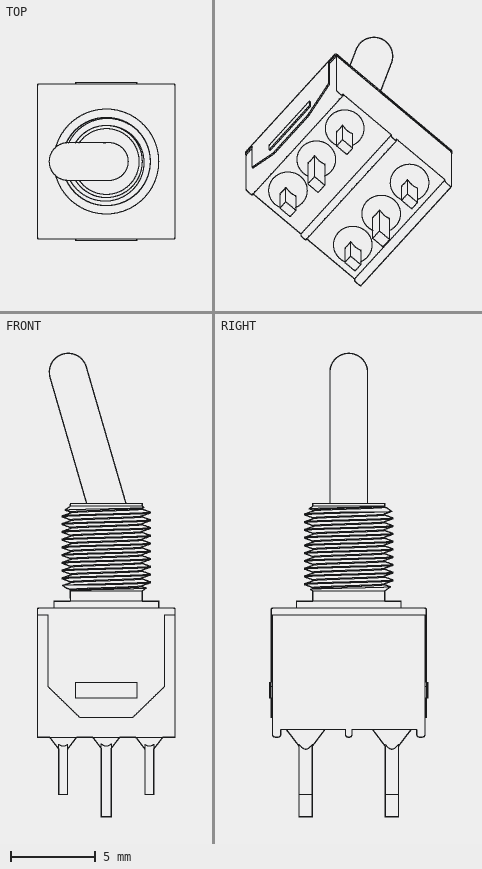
import cadquery as cq
import math


cover_width = 8.13
cover_side_overhang = 0.01
housing_width = cover_width - 2 * cover_side_overhang
housing_depth = 9.0
foot_height = 0.45
outer_foot_width = 0.5
middle_foot_width = 0.4
foot_rounding = 0.17

sheet_thickness = 0.08
cover_depth = housing_depth + 2 * sheet_thickness
cover_top = 7.62
lid_height = 0.41
lid_rounding = 0.1
lid_bottom = cover_top - lid_height
leg_width = 6.86
leg_tip_width = 3.1
leg_taper_top = 2.98
leg_bottom = 1.16
bar_width = 3.6
bar_height = 0.91
bar_center_height = 2.78
bar_projection = 0.08

collar_diameter = 6.19
collar_top = 8.03
neck_diameter = 4.25
bushing_top = 13.79
bore_diameter = 3.88
bore_depth = 0.45
thread_diameter = 5.2
thread_bottom = 8.62
thread_top = 13.62
thread_end_taper = 0.35
thread_pitch = 0.457
thread_root_gap = 0.02
thread_crest_flat = 0.06
thread_trim_clearance = 0.1
thread_root_sink = 0.06
thread_overrun_turns = 1
thread_crest_height = 13.02

overall_height = 27.33
lever_diameter = 2.24
lever_angle = 16.2
lever_pivot_height = bushing_top
lever_top = 22.64

terminal_pitch = 2.54
row_spacing = 5.08
terminal_depth = 0.8
terminal_embedment = 0.5
outer_terminal_width = 0.52
middle_terminal_width = 0.6
outer_terminal_bottom = -3.38
middle_terminal_bottom = lever_top - overall_height
bead_diameter = 2.28
bead_length = 1.5


def box(width, depth, bottom, top, x=0, y=0):
    """Upright block centred on (x, y)."""
    block = cq.Workplane("XY").workplane(offset=bottom).center(x, y)
    return block.rect(width, depth).extrude(top - bottom)


def cylinder(diameter, bottom, top):
    """Cylinder on the Z axis."""
    return cq.Workplane("XY").workplane(offset=bottom).circle(diameter / 2).extrude(top - bottom)


def make_housing():
    housing = box(housing_width, housing_depth, foot_height, lid_bottom)
    outer_foot_y = (housing_depth - outer_foot_width) / 2
    feet = ((-outer_foot_y, outer_foot_width), (0, middle_foot_width), (outer_foot_y, outer_foot_width))
    for foot_y, foot_width in feet:
        foot = box(housing_width, foot_width, 0, lid_bottom, y=foot_y)
        housing = housing.union(foot.faces("<Z").edges("|X").fillet(foot_rounding))
    return housing


def make_cover():
    lid = box(cover_width, cover_depth, lid_bottom, cover_top)
    cover = lid.edges("|Z or >Z").fillet(lid_rounding)
    leg_outline = [
        (-leg_width / 2, lid_bottom),
        (-leg_width / 2, leg_taper_top),
        (-leg_tip_width / 2, leg_bottom),
        (leg_tip_width / 2, leg_bottom),
        (leg_width / 2, leg_taper_top),
        (leg_width / 2, lid_bottom),
    ]
    legs = cq.Workplane("XZ").polyline(leg_outline).close().extrude(cover_depth / 2, both=True)
    bars = box(
        bar_width,
        cover_depth + 2 * bar_projection,
        bar_center_height - bar_height / 2,
        bar_center_height + bar_height / 2,
    )
    return cover.union(legs).union(bars)


def make_thread():
    """Helical ridge with a narrow flat crest, its two ends trimmed to a taper."""
    neck_radius = neck_diameter / 2
    crest_radius = thread_diameter / 2
    trim_radius = crest_radius + thread_trim_clearance
    taper_rise = thread_end_taper * (trim_radius - neck_radius) / (crest_radius - neck_radius)
    barrel_outline = [
        (0, thread_bottom),
        (neck_radius, thread_bottom),
        (trim_radius, thread_bottom + taper_rise),
        (trim_radius, thread_top - taper_rise),
        (neck_radius, thread_top),
        (0, thread_top),
    ]
    barrel = cq.Workplane("XZ").polyline(barrel_outline).close().revolve(360, (0, 0, 0), (0, 1, 0))

    root_radius = neck_radius - thread_root_sink
    half_root = (thread_pitch - thread_root_gap) / 2
    overrun = thread_overrun_turns * thread_pitch
    start_drop = thread_crest_height - thread_bottom + overrun
    start = thread_crest_height - (math.ceil(start_drop / thread_pitch) + 0.5) * thread_pitch
    length = thread_pitch * math.ceil((thread_top + overrun - start) / thread_pitch)
    ridge_outline = [
        (root_radius, start - half_root),
        (crest_radius, start - thread_crest_flat / 2),
        (crest_radius, start + thread_crest_flat / 2),
        (root_radius, start + half_root),
    ]
    helix = cq.Wire.makeHelix(thread_pitch, length, root_radius, cq.Vector(0, 0, start))
    ridge = cq.Workplane("XZ").polyline(ridge_outline).close().sweep(cq.Workplane(helix), isFrenet=True)
    return ridge.intersect(barrel)


def make_bushing():
    bushing = cylinder(collar_diameter, cover_top, collar_top)
    bushing = bushing.union(cylinder(neck_diameter, cover_top, bushing_top))
    bushing = bushing.union(make_thread())
    return bushing.cut(cylinder(bore_diameter, bushing_top - bore_depth, bushing_top))


def make_lever():
    """Round-ended rod leaning towards -X from its root inside the bushing."""
    radius = lever_diameter / 2
    lean = math.radians(lever_angle)
    root_length = (bore_depth + radius) / math.cos(lean)
    reach = (lever_top - radius - lever_pivot_height) / math.cos(lean)
    lever = cylinder(lever_diameter, -root_length, reach)
    lever = lever.union(cq.Workplane("XY").sphere(radius).translate((0, 0, reach)))
    lever = lever.rotate((0, 0, 0), (0, 1, 0), -lever_angle)
    return lever.translate((0, 0, lever_pivot_height))


def make_terminal(x, y, width, bottom):
    blade = box(width, terminal_depth, bottom, foot_height + terminal_embedment, x, y)
    bead = cq.Solid.makeCone(
        bead_diameter / 2, 0, bead_length, cq.Vector(x, y, foot_height), cq.Vector(0, 0, -1)
    )
    return blade.union(cq.Workplane(bead))


result = make_housing().union(make_cover()).union(make_bushing()).union(make_lever())
for row_y in (-row_spacing / 2, row_spacing / 2):
    for column_x in (-terminal_pitch, terminal_pitch):
        result = result.union(make_terminal(column_x, row_y, outer_terminal_width, outer_terminal_bottom))
    result = result.union(make_terminal(0, row_y, middle_terminal_width, middle_terminal_bottom))
result = result.solids()